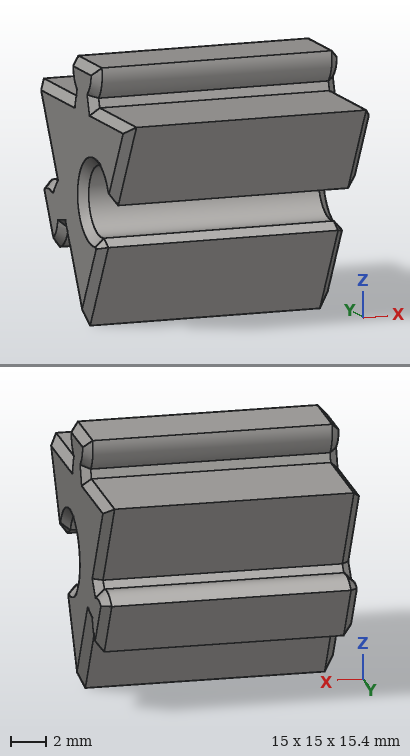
import cadquery as cq
import math

length = 15.0
side = 15.0
end_chamfer = 0.5
overall_height = 15.39
inradius = side / (2 * math.sqrt(3))
side_turn = 120

knob_height = overall_height - 3 * inradius
knob_radius = 1.95
knob_center_height = 1.92
knob_arc_end_angle = math.radians(43)
undercut_length = 0.08
neck_base_half_width = 1.55

socket_radius = 2.1
socket_depth = 2.19
mouth_width = 3.19


def prism():
    corners = [(-side / 2, inradius), (side / 2, inradius), (0, -2 * inradius)]
    return cq.Workplane("YZ").polyline(corners).close().extrude(length)


def turned(body, angle):
    """Turn a body about the prism axis."""
    return body.rotate((0, 0, 0), (1, 0, 0), angle)


def knob():
    """Knob on the top face, running down to the prism axis so that it fuses with the body."""
    center = inradius + knob_center_height
    top = inradius + knob_height
    top_half_width = math.sqrt(knob_radius**2 - (top - center) ** 2)
    cosine = math.cos(knob_arc_end_angle)
    sine = math.sin(knob_arc_end_angle)
    arc_end_half_width = knob_radius * cosine
    arc_end = center - knob_radius * sine
    neck_half_width = arc_end_half_width - undercut_length * sine
    neck = arc_end - undercut_length * cosine
    return (
        cq.Workplane("YZ")
        .moveTo(-top_half_width, top)
        .lineTo(top_half_width, top)
        .threePointArc((knob_radius, center), (arc_end_half_width, arc_end))
        .lineTo(neck_half_width, neck)
        .lineTo(neck_base_half_width, inradius)
        .lineTo(neck_base_half_width, 0)
        .lineTo(-neck_base_half_width, 0)
        .lineTo(-neck_base_half_width, inradius)
        .lineTo(-neck_half_width, neck)
        .lineTo(-arc_end_half_width, arc_end)
        .threePointArc((-knob_radius, center), (-top_half_width, top))
        .close()
        .extrude(length)
    )


def socket():
    """Round bore opening through the top face by a straight-sided mouth."""
    center = inradius - socket_depth
    bore = cq.Workplane("YZ").center(0, center).circle(socket_radius).extrude(length)
    mouth = (
        cq.Workplane("YZ")
        .center(0, center + socket_depth / 2)
        .rect(mouth_width, socket_depth)
        .extrude(length)
    )
    return bore.union(mouth)


body = prism().union(knob()).union(turned(knob(), -side_turn)).cut(turned(socket(), side_turn))

result = body.faces("<X or >X").chamfer(end_chamfer)